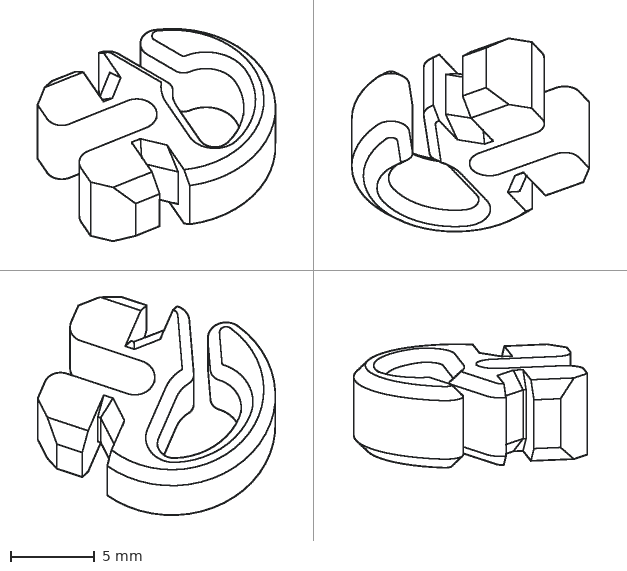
import cadquery as cq
import math

thickness = 5.0

ring_radius = 6.2
ring_center_y = 1.9
rim_thickness = 1.9
edge_chamfer = 0.7

opening_radius = 2.0
opening_corner_radius = 1.0

slit_width = 1.0
slit_angle = 25.0
slit_center_y = 4.02
slit_tip_radius = 1.1
slit_inner_radius = 0.8

foot_depth = 5.4
foot_half_width = 5.42
foot_lead_in = 2.0
foot_shoulder_y = -1.78
neck_half_width = 2.8
neck_flare_y = -1.6
foot_side_chamfer = 1.0
relief_width = 2.4
relief_top_y = 0.72
leg_tip_radius = 1.0

wall_radius = ring_radius - rim_thickness
opening_top_y = ring_center_y + wall_radius
opening_center_y = opening_top_y - opening_radius
opening_floor_y = opening_center_y - opening_radius

slit_lip_limit_x = -opening_radius / 4

neck_root_y = foot_shoulder_y - foot_side_chamfer


def prism(outline):
    """Extrude a closed outline through the full thickness."""
    return outline.extrude(thickness)


def make_opening():
    """Opening: small arc on the left, ring-concentric arc and rounded corner on the right."""
    corner_y = opening_floor_y + opening_corner_radius
    corner_offset_y = corner_y - ring_center_y
    corner_reach = wall_radius - opening_corner_radius
    corner_x = math.sqrt(corner_reach**2 - corner_offset_y**2)
    tangent_angle = math.atan2(corner_offset_y, corner_x)

    def wall_point(angle):
        return (wall_radius * math.cos(angle), ring_center_y + wall_radius * math.sin(angle))

    corner_mid_angle = (tangent_angle - math.pi / 2) / 2
    corner_mid = (
        corner_x + opening_corner_radius * math.cos(corner_mid_angle),
        corner_y + opening_corner_radius * math.sin(corner_mid_angle),
    )
    return prism(
        cq.Workplane("XY")
        .moveTo(0, opening_floor_y)
        .threePointArc((-opening_radius, opening_center_y), (0, opening_top_y))
        .threePointArc(wall_point((tangent_angle + math.pi / 2) / 2), wall_point(tangent_angle))
        .threePointArc(corner_mid, (corner_x, opening_floor_y))
        .close()
    )


def make_slit():
    """Slanted band from the middle of the opening to beyond the ring."""
    length = 2 * ring_radius
    return (
        cq.Workplane("XY")
        .box(length, slit_width, thickness, centered=(False, True, False))
        .translate((-length, 0, 0))
        .rotate((0, 0, 0), (0, 0, 1), slit_angle)
        .translate((0, slit_center_y, 0))
    )


def make_hook():
    """Ring with opening and slit, rounded slit ends, chamfered faces, cut flat at Y = 0."""
    disk = prism(cq.Workplane("XY").center(0, ring_center_y).circle(ring_radius))
    hook = disk.cut(make_opening()).cut(make_slit())

    split_x = -(ring_radius + opening_radius) / 2
    tip_zone = cq.selectors.BoxSelector((-2 * ring_radius, 0, 0), (split_x, opening_top_y, thickness))
    inner_zone = cq.selectors.BoxSelector((split_x, 0, 0), (slit_lip_limit_x, opening_top_y, thickness))
    hook = hook.edges(tip_zone).edges("|Z").fillet(slit_tip_radius)
    hook = hook.edges(inner_zone).edges("|Z").fillet(slit_inner_radius)
    hook = hook.faces("<Z or >Z").edges().chamfer(edge_chamfer)

    upper_half = cq.Workplane("XY").box(
        4 * ring_radius, 2 * ring_radius, thickness, centered=(True, False, False)
    )
    return hook.intersect(upper_half)


def make_foot_block():
    """Wide foot with 45 degree lead-ins and its outer sides chamfered on both faces."""
    lead_in_y = -foot_depth + foot_lead_in
    outline = prism(
        cq.Workplane("XY").polyline([
            (-foot_half_width, foot_shoulder_y),
            (-foot_half_width, lead_in_y),
            (-foot_half_width + foot_lead_in, -foot_depth),
            (foot_half_width - foot_lead_in, -foot_depth),
            (foot_half_width, lead_in_y),
            (foot_half_width, foot_shoulder_y),
        ]).close()
    )
    section = (
        cq.Workplane("XZ")
        .rect(2 * foot_half_width, thickness)
        .extrude(foot_depth)
        .edges("|Y")
        .chamfer(foot_side_chamfer)
        .translate((0, 0, thickness / 2))
    )
    return outline.intersect(section)


def make_neck():
    """Neck flaring at 45 degrees up to the hook, with chamfered sides."""
    flare_half_width = neck_half_width - neck_flare_y
    neck = prism(
        cq.Workplane("XY").polyline([
            (-neck_half_width, neck_root_y),
            (-neck_half_width, neck_flare_y),
            (-flare_half_width, 0),
            (flare_half_width, 0),
            (neck_half_width, neck_flare_y),
            (neck_half_width, neck_root_y),
        ]).close()
    )
    return neck.faces("<Z or >Z").edges("not(|X)").chamfer(foot_side_chamfer)


def make_relief():
    """Round-ended slot that splits the foot into two springy legs."""
    radius = relief_width / 2
    arc_center_y = relief_top_y - radius
    return prism(
        cq.Workplane("XY")
        .moveTo(-radius, -foot_depth)
        .lineTo(-radius, arc_center_y)
        .threePointArc((0, relief_top_y), (radius, arc_center_y))
        .lineTo(radius, -foot_depth)
        .close()
    )


def round_leg_tips(body):
    """Round the inner corner at the end of each leg."""
    reach = relief_width / 2 + leg_tip_radius / 2
    tip_zone = cq.selectors.BoxSelector(
        (-reach, -foot_depth - leg_tip_radius, 0), (reach, -foot_depth + leg_tip_radius, thickness)
    )
    return body.edges(tip_zone).edges("|Z").fillet(leg_tip_radius)


clip = make_hook().union(make_neck()).union(make_foot_block()).cut(make_relief())
result = round_leg_tips(clip)